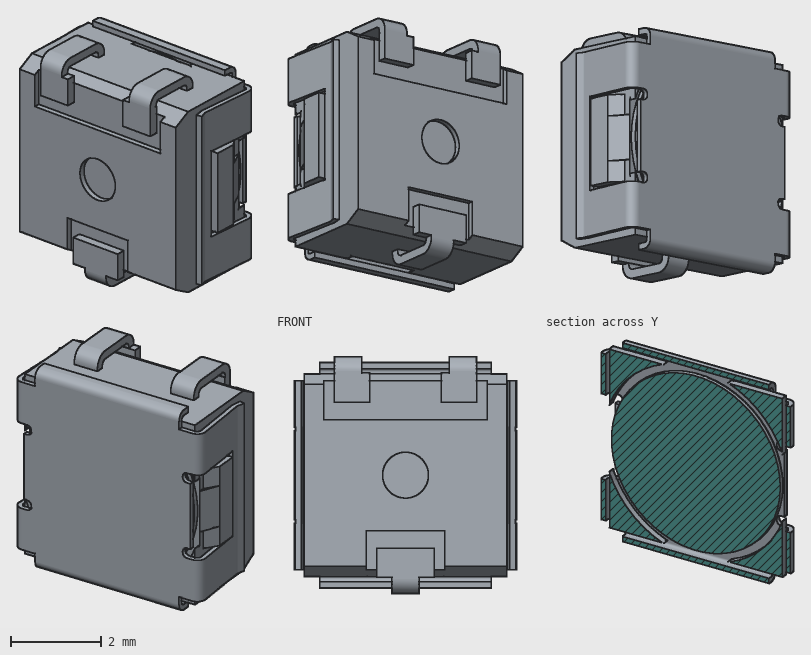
import cadquery as cq
import math

body_side = 4.50
body_depth = 2.39
chamfer_along_y = 0.43
chamfer_along_z = 0.23
half_body = body_side / 2

recess_depth = 0.14
gate_mark_radius = 0.51
pocket_inner_z = 1.235
upper_pocket_half_width = 1.81
lower_pocket_half_width = 0.87

well_radius = 2.40
well_floor_y = 2.20
disc_radius = 2.20
disc_chamfer = 0.06

terminal_front_y = -0.08
terminal_thickness = 0.205
terminal_leg_y = 1.405
terminal_outer_z = 2.63
terminal_bend_radius = 0.32
terminal_width = 0.61
terminal_embedment = 0.25
terminal_root_z = half_body - terminal_embedment
pad_inner_z = 1.617
pad_outer_z = 2.27
upper_terminal_outer_x = 1.58
upper_pad_inner_x = 0.795
lower_pad_half_width = 0.64

cover_thickness = 0.12
cover_back_y = body_depth + cover_thickness
cover_bend_radius = 0.21
lip_half_width = 1.905
lip_outer_z = 2.505
lip_thickness = 0.14
lip_inner_radius = 0.07
lip_end_y = 2.13
flange_half_width = 2.10
flange_outer_x = 2.465
flange_knee_start = (2.385, 0.905)
flange_knee_middle = (2.3825, 0.877)
flange_knee_end = (2.385, 0.85)
flange_tip_outer = (2.443, 0.675)
flange_tip_inner = (2.310, 0.645)
flange_knee_inner = (2.262, 0.89)

window_half_height = 1.065
window_bottom_y = 1.07
tongue_half_height = 0.82
tongue_end_x = 2.20
relief_center_x = 2.12

latch_outer_x = 2.475
latch_bottom_y = 1.19
latch_ramp_y = 1.73
latch_half_height = 0.99
side_ramp_top_y = 2.045
middle_ramp_half_height = 0.51
middle_ramp_top_y = well_floor_y


def box(x_range, y_range, z_range):
    """Axis-aligned block between the given limits."""
    size = [limits[1] - limits[0] for limits in (x_range, y_range, z_range)]
    corner = (x_range[0], y_range[0], z_range[0])
    return cq.Workplane("XY").box(*size, centered=False).translate(corner)


def cylinder_along_y(radius, y_start, y_end):
    """Cylinder on the Y axis of the part."""
    return cq.Workplane("XZ", origin=(0, y_start, 0)).circle(radius).extrude(y_start - y_end)


def corner_point(center, radius):
    """Middle of the quarter arc that bulges away from both axes."""
    reach = radius * math.sqrt(0.5)
    return (center[0] + reach, center[1] + reach)


def make_body():
    shoulder_z = half_body - chamfer_along_z
    outline = [
        (0, -shoulder_z),
        (chamfer_along_y, -half_body),
        (body_depth, -half_body),
        (body_depth, half_body),
        (chamfer_along_y, half_body),
        (0, shoulder_z),
    ]
    body = cq.Workplane("YZ").polyline(outline).close().extrude(half_body, both=True)
    body = body.cut(cylinder_along_y(gate_mark_radius, 0, recess_depth))
    pocket_y = (0, recess_depth)
    upper_x = (-upper_pocket_half_width, upper_pocket_half_width)
    lower_x = (-lower_pocket_half_width, lower_pocket_half_width)
    body = body.cut(box(upper_x, pocket_y, (pocket_inner_z, half_body)))
    body = body.cut(box(lower_x, pocket_y, (-half_body, -pocket_inner_z)))
    return body.cut(cylinder_along_y(well_radius, well_floor_y, body_depth))


def make_disc():
    disc = cylinder_along_y(disc_radius, well_floor_y, body_depth)
    return disc.faces(">Y").chamfer(disc_chamfer)


def make_terminal(strip_x, pad_x):
    """Terminal on the +Z side: strip out of the body, over the edge and down to a wider pad."""
    inset = terminal_thickness
    strip = (
        box(strip_x, (terminal_front_y, terminal_leg_y), (terminal_root_z, terminal_outer_z))
        .edges("|X and >Z")
        .fillet(terminal_bend_radius)
    )
    hollow = (
        box(
            strip_x,
            (terminal_front_y + inset, terminal_leg_y - inset),
            (terminal_root_z, terminal_outer_z - inset),
        )
        .edges("|X and >Z")
        .fillet(terminal_bend_radius - inset)
    )
    pad_y = (terminal_front_y, recess_depth)
    return strip.cut(hollow).union(box(pad_x, pad_y, (pad_inner_z, pad_outer_z)))


def make_terminals():
    strip_inner_x = upper_terminal_outer_x - terminal_width
    right = make_terminal(
        (strip_inner_x, upper_terminal_outer_x),
        (upper_pad_inner_x, upper_terminal_outer_x),
    )
    lower = make_terminal(
        (-terminal_width / 2, terminal_width / 2),
        (-lower_pad_half_width, lower_pad_half_width),
    ).mirror("XY")
    return [right, right.mirror("YZ"), lower]


def make_lip():
    """Half of the cover on the +Z side, ending in a lip turned toward the front."""
    inner_z = lip_outer_z - lip_thickness
    outer_center = (cover_back_y - cover_bend_radius, lip_outer_z - cover_bend_radius)
    inner_center = (body_depth - lip_inner_radius, inner_z - lip_inner_radius)
    return (
        cq.Workplane("YZ")
        .moveTo(body_depth, 0)
        .lineTo(cover_back_y, 0)
        .lineTo(cover_back_y, outer_center[1])
        .threePointArc(corner_point(outer_center, cover_bend_radius), (outer_center[0], lip_outer_z))
        .lineTo(lip_end_y, lip_outer_z)
        .lineTo(lip_end_y, inner_z)
        .lineTo(inner_center[0], inner_z)
        .threePointArc(corner_point(inner_center, lip_inner_radius), (body_depth, inner_center[1]))
        .close()
        .extrude(lip_half_width, both=True)
    )


def make_flange():
    """Half of the cover on the +X side, ending in a springy flange with a flared tip."""
    inner_radius = cover_bend_radius - cover_thickness
    center = (flange_outer_x - cover_bend_radius, cover_back_y - cover_bend_radius)
    flange = (
        cq.Workplane("XY")
        .moveTo(0, body_depth)
        .lineTo(0, cover_back_y)
        .lineTo(center[0], cover_back_y)
        .threePointArc(corner_point(center, cover_bend_radius), (flange_outer_x, center[1]))
        .lineTo(*flange_knee_start)
        .threePointArc(flange_knee_middle, flange_knee_end)
        .lineTo(*flange_tip_outer)
        .lineTo(*flange_tip_inner)
        .lineTo(*flange_knee_inner)
        .lineTo(flange_outer_x - cover_thickness, center[1])
        .threePointArc(corner_point(center, inner_radius), (center[0], body_depth))
        .close()
        .extrude(flange_half_width, both=True)
    )
    return flange.cut(make_window())


def make_window():
    """Flange window, with a round-ended relief slot on each side of the tongue."""
    window_y = (window_bottom_y, cover_back_y)
    window = box(
        (tongue_end_x, flange_outer_x), window_y, (-window_half_height, window_half_height)
    )
    relief_radius = (window_half_height - tongue_half_height) / 2
    relief_z = (window_half_height + tongue_half_height) / 2
    slot_x = (relief_center_x, flange_outer_x)
    for z in (-relief_z, relief_z):
        slot_end = cylinder_along_y(relief_radius, *window_y).translate((relief_center_x, 0, z))
        slot = box(slot_x, window_y, (z - relief_radius, z + relief_radius))
        window = window.union(slot).union(slot_end)
    return window


def make_ramp(top_y, half_height):
    """Wedge on the +X side that slopes back to the body at top_y."""
    outline = [
        (disc_radius, latch_bottom_y),
        (latch_outer_x, latch_bottom_y),
        (latch_outer_x, latch_ramp_y),
        (half_body, top_y),
        (disc_radius, top_y),
    ]
    return cq.Workplane("XY").polyline(outline).close().extrude(half_height, both=True)


def make_latch():
    middle = make_ramp(middle_ramp_top_y, middle_ramp_half_height)
    return make_ramp(side_ramp_top_y, latch_half_height).union(middle)


def with_mirror(shape, plane):
    return [shape, shape.mirror(plane)]


pieces = [make_disc()]
pieces += make_terminals()
pieces += with_mirror(make_lip(), "XY")
pieces += with_mirror(make_flange(), "YZ")
pieces += with_mirror(make_latch(), "YZ")

result = make_body()
for piece in pieces:
    result = result.union(piece)